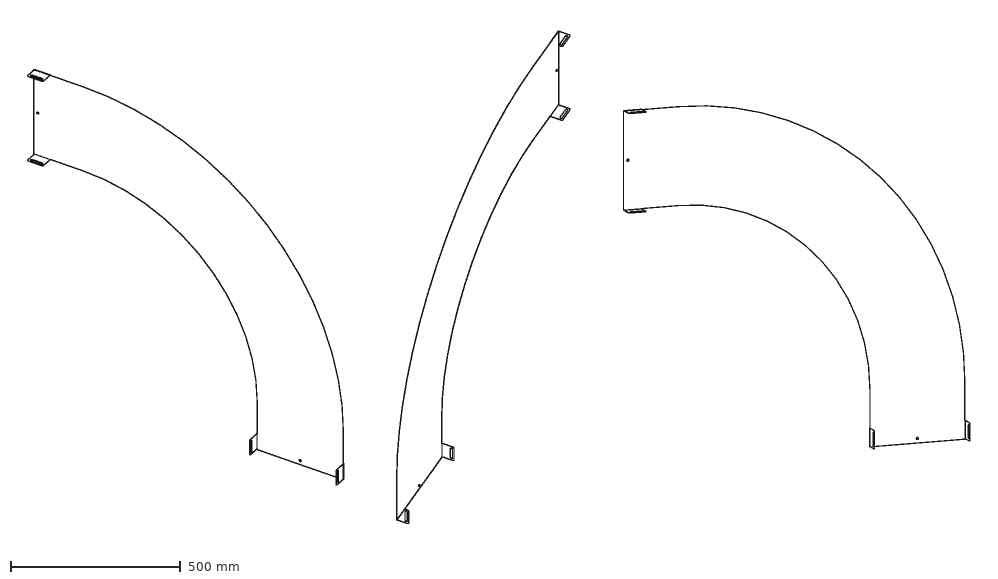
import cadquery as cq
import math

size = 1074.0
depth = 41.0

sheet = 1.3
outer_radius = 900.0
inner_radius = 601.0
straight = size - sheet - outer_radius
band_centre = (outer_radius + inner_radius) / 2

tab_length = 55.0
tab_end_gap = 2.0
tab_corner_radius = 4.0
slot_length = 42.0
slot_width = 7.0
slot_edge_gap = 5.0

hole_diameter = 6.3
hole_inset = 14.0


def bend_plate():
    """Quarter-circle band with a straight run at each end; bend centre at the origin."""
    diagonal = math.sqrt(0.5)
    outer_middle = outer_radius * diagonal
    inner_middle = inner_radius * diagonal
    return (
        cq.Workplane("XZ")
        .moveTo(-straight, outer_radius)
        .lineTo(0, outer_radius)
        .threePointArc((outer_middle, outer_middle), (outer_radius, 0))
        .lineTo(outer_radius, -straight)
        .lineTo(inner_radius, -straight)
        .lineTo(inner_radius, 0)
        .threePointArc((inner_middle, inner_middle), (0, inner_radius))
        .lineTo(-straight, inner_radius)
        .close()
        .extrude(sheet)
    )


def end_tab(underside):
    """Slotted tab along the horizontal end of the bend, standing out toward -Y."""
    tab_start = -straight + tab_end_gap
    tab = (
        cq.Workplane("XY", origin=(tab_start, 0, underside))
        .rect(tab_length, -depth, centered=False)
        .extrude(sheet)
        .edges("|Z and <Y")
        .fillet(tab_corner_radius)
    )
    slot_y = -depth + slot_edge_gap + slot_width / 2
    slot = (
        cq.Workplane("XY", origin=(tab_start + tab_length / 2, slot_y, underside))
        .slot2D(slot_length, slot_width)
        .extrude(sheet)
    )
    return tab.cut(slot)


def fixing_hole():
    return (
        cq.Workplane("XZ")
        .center(-straight + hole_inset, band_centre)
        .circle(hole_diameter / 2)
        .extrude(sheet)
    )


def on_other_end(shape):
    """Mirror a feature of the horizontal end across the bend diagonal onto the vertical end."""
    return shape.mirror("YZ").rotate((0, 0, 0), (0, 1, 0), 90)


result = bend_plate()
for underside in (outer_radius, inner_radius - sheet):
    tab = end_tab(underside)
    result = result.union(tab).union(on_other_end(tab))
hole = fixing_hole()
result = result.cut(hole).cut(on_other_end(hole))